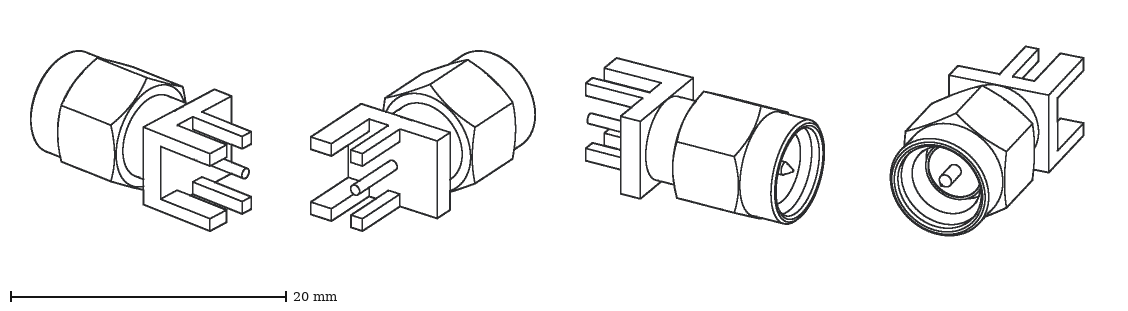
import cadquery as cq
import math


sleeve_radius = 3.9
sleeve_chamfer = 0.2
hex_start = 2.79
hex_end = 8.39
hex_across_flats = 8.0
hex_chamfer_angle = 30.0

mouth_radius = 3.5
mouth_chamfer = 0.2
entry_radius = mouth_radius - mouth_chamfer
entry_depth = 0.83
bore_radius = 2.7
bore_start = 1.43
bore_floor = 4.0

conductor_radius = 2.28
conductor_face = 2.95
dielectric_radius = 2.1
dielectric_recess = 0.1
dielectric_face = conductor_face + dielectric_recess

contact_radius = 0.48
contact_tip_radius = 0.07
contact_tip_x = 0.54
contact_cone_length = 0.73

neck_radius = 3.15
plate_start = 11.05
plate_end = 12.7
plate_width = 7.9
plate_height = 6.35
leg_end = 17.45
leg_thickness = 1.02
wide_leg_width = 1.85
narrow_leg_width = 1.02
narrow_leg_center_y = 0.14
solder_pin_radius = 0.4


def cylinder(start, end, radius):
    """Solid cylinder on the X axis."""
    return cq.Workplane("YZ").workplane(offset=start).circle(radius).extrude(end - start)


def revolve_profile(points):
    """Solid of revolution about the X axis from (x, radius) points."""
    return cq.Workplane("XY").polyline(points).close().revolve(360, (0, 0, 0), (1, 0, 0))


def box(x_range, y_range, z_range):
    """Box given by its limits along each axis."""
    lengths = [high - low for low, high in (x_range, y_range, z_range)]
    corner = (x_range[0], y_range[0], z_range[0])
    return cq.Workplane("XY").box(*lengths, centered=False).translate(corner)


def make_hexagon():
    """Hexagon with corners up and down, its ends coned off down to the sleeve radius."""
    corner_radius = hex_across_flats / math.sqrt(3)
    cone_length = (corner_radius - sleeve_radius) * math.tan(math.radians(hex_chamfer_angle))
    prism = (
        cq.Workplane("YZ")
        .workplane(offset=hex_start)
        .polygon(6, 2 * corner_radius)
        .extrude(hex_end - hex_start)
        .rotate((0, 0, 0), (1, 0, 0), 90)
    )
    envelope = revolve_profile([
        (hex_start, 0),
        (hex_start, sleeve_radius),
        (hex_start + cone_length, corner_radius),
        (hex_end - cone_length, corner_radius),
        (hex_end, sleeve_radius),
        (hex_end, 0),
    ])
    return prism.intersect(envelope)


def make_sleeve():
    """Round front of the nut, chamfered at the mouth."""
    return cylinder(0, hex_start, sleeve_radius).faces("<X").chamfer(sleeve_chamfer)


def make_bore():
    """Stepped and tapered cavity that opens at the mouth."""
    return revolve_profile([
        (0, 0),
        (0, mouth_radius),
        (mouth_chamfer, entry_radius),
        (entry_depth, entry_radius),
        (bore_start, bore_radius),
        (bore_floor, bore_radius),
        (bore_floor, 0),
    ])


def make_conductor():
    """Outer conductor with its dielectric core slightly sunk below its rim."""
    conductor = cylinder(conductor_face, bore_floor, conductor_radius)
    return conductor.cut(cylinder(conductor_face, dielectric_face, dielectric_radius))


def make_contact():
    """Pointed centre contact standing on the dielectric core."""
    return revolve_profile([
        (contact_tip_x, 0),
        (contact_tip_x, contact_tip_radius),
        (contact_tip_x + contact_cone_length, contact_radius),
        (dielectric_face, contact_radius),
        (dielectric_face, 0),
    ])


def make_mount():
    """Plate with one wide and one narrow leg at its top and at its bottom."""
    half_width = plate_width / 2
    half_height = plate_height / 2
    mount = box((plate_start, plate_end), (-half_width, half_width), (-half_height, half_height))
    wide_leg_y = (-half_width, -half_width + wide_leg_width)
    narrow_leg_y = (
        narrow_leg_center_y - narrow_leg_width / 2,
        narrow_leg_center_y + narrow_leg_width / 2,
    )
    for leg_bottom in (-half_height, half_height - leg_thickness):
        for leg_y in (wide_leg_y, narrow_leg_y):
            leg = box((plate_end, leg_end), leg_y, (leg_bottom, leg_bottom + leg_thickness))
            mount = mount.union(leg)
    return mount


nut = make_sleeve().union(make_hexagon())
neck = cylinder(hex_end, plate_start, neck_radius)
solder_pin = cylinder(plate_end, leg_end, solder_pin_radius)

result = nut.union(neck).union(make_mount()).union(solder_pin)
result = result.cut(make_bore()).union(make_conductor()).union(make_contact())